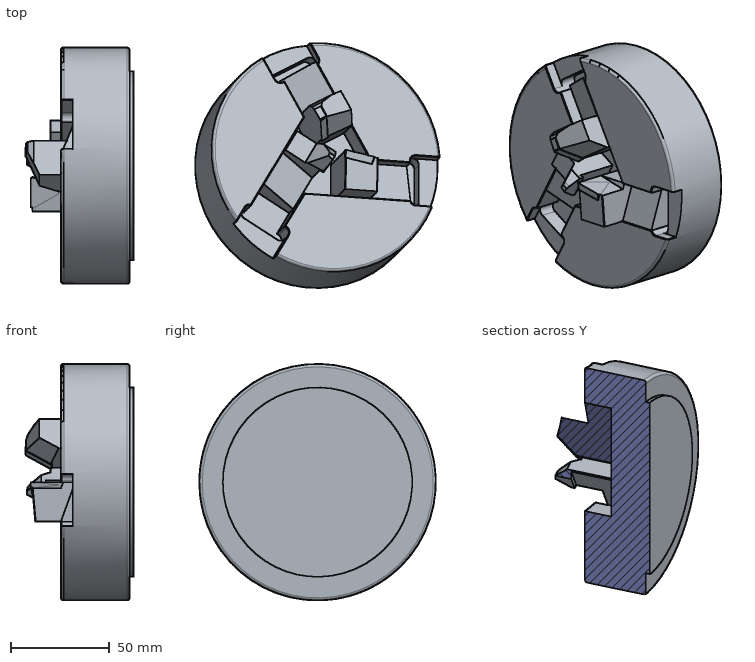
import cadquery as cq
import math


DISC_RADIUS = 60
DISC_THICKNESS = 34.9
RIM_FILLET = 1.5
FLANGE_RADIUS = 48
FLANGE_THICKNESS = 2.0

SLOT_WIDTH = 20.0
SLOT_DEPTH = 15.0
SLOT_INNER_END = -SLOT_WIDTH / math.sqrt(3)
SLOT_ANGLES = (0, 120, 240)
RELIEF_INNER_END = 44.0
RELIEF_RADIUS = 3.0
RELIEF_CENTER = RELIEF_INNER_END + RELIEF_RADIUS
CHANNEL_TOP = 4.0
CHANNEL_MARGIN = 2.0
CHANNEL_BOTTOM = -SLOT_WIDTH - CHANNEL_MARGIN
CHANNEL_DEPTH = 6
SLOT_CHAMFER = 0.4
CUT_MARGIN = 1.2
RADIUS_TOLERANCE = 0.01

RAMP_ANGLE = 20
RAMP_SLOPE = math.tan(math.radians(RAMP_ANGLE))
HOLDER_LENGTH = 17.0
TRIM_SIZE = 120

FLAT_START = 6.2
FLAT_END = 44.0
FLAT_HEIGHT = 14.8
FLAT_CLEARANCE_ANGLE = 5
FLAT_CLEARANCE_SLOPE = math.tan(math.radians(FLAT_CLEARANCE_ANGLE))
FLAT_EDGE_CHAMFER = 0.4
RAKE_ANGLE = 10
SHOULDER_DROP = 1.2
TRIANGLE_SIDE = 17.3
TRIANGLE_NOSE = 1.2
TRIANGLE_TOP = 15.2
TRIANGLE_START = 5.2
TRIANGLE_THICKNESS = 3.8
TRIANGLE_CLEARANCE = 11
TRIANGLE_CORNER = math.radians(60)

TALL_START = 8.4
TALL_END = 45.8
TALL_HEIGHT = 17.6
TALL_LOW_HEIGHT = 10.8
TALL_LOW_EDGE = 14.4
TALL_TOP_ANGLE = 23.5
TALL_TOP_SLOPE = math.tan(math.radians(TALL_TOP_ANGLE))
TALL_FLANK_SLOPE = 1.62
TALL_FLANK_RELIEF = 0.25
TALL_CORNER_HEIGHT = 13.8
TALL_BEVEL_EDGE = 24
TALL_BEVEL_HEIGHT = 16.8
TALL_LAND_END = 22.3
TALL_INSERT_THICKNESS = 4.0
TALL_INSERT_RELIEF = 0.15
TALL_INSERT_TIP = (16.5, 18)
TALL_INSERT_NOSE = (15.6, 17.8)
TALL_INSERT_HEEL = (7.5, 5.0)
TALL_INSERT_BASE = 4.5

OVER_START = -1.1
OVER_SHOULDER = 11.0
OVER_END = 31.0
OVER_HEIGHT = 5.3
OVERHANG = 2.0
OVERHANG_BASE = 7.5
NOSE_FOOT = -8.2
NOSE_HEIGHT = 17.3
NOSE_BACK_SLOPE = 1.65
NOSE_END_HEIGHT = 10.0
NOSE_BEVEL_EDGE = 2.6
NOSE_BEVEL_HEIGHT = 15.7
NOSE_LAND_EDGE = 3.8
NOSE_LAND_HEIGHT = 16.9
NOSE_LAND_SLOPE = 0.2
NOSE_FLANK_POINT = (OVER_SHOULDER, -7.1, 7.0)
NOSE_FLANK_SLOPE = 1.6
NOSE_FLANK_RELIEF = 0.26


def block(x_range, y_range, z_range):
    """Box between the given limits."""
    size = [high - low for low, high in (x_range, y_range, z_range)]
    corner = (x_range[0], y_range[0], z_range[0])
    return cq.Workplane("XY", origin=corner).box(*size, centered=False)


def trim_above(solid, point, slope_x=0.0, slope_y=0.0):
    """Remove what lies above the plane through point that rises by the given slopes along X and Y."""
    plane = cq.Plane(origin=point, xDir=(1, 0, slope_x), normal=(-slope_x, -slope_y, 1))
    return solid.cut(cq.Workplane(plane).rect(TRIM_SIZE, TRIM_SIZE).extrude(TRIM_SIZE))


def slope_between(first, second):
    """Rise over run from one (x, z) point to another."""
    return (second[1] - first[1]) / (second[0] - first[0])


def slot_cutter():
    """Jaw slot with its rounded end relief and the shallower wide channel to the rim."""
    slot = block((SLOT_INNER_END, RELIEF_CENTER), (-SLOT_WIDTH, 0), (-SLOT_DEPTH, CUT_MARGIN))
    relief_width = CHANNEL_TOP - CHANNEL_BOTTOM
    relief_middle = (CHANNEL_TOP + CHANNEL_BOTTOM) / 2
    relief = (
        cq.Workplane("XY", origin=(RELIEF_CENTER, relief_middle, -SLOT_DEPTH))
        .slot2D(relief_width, 2 * RELIEF_RADIUS, 90)
        .extrude(SLOT_DEPTH + CUT_MARGIN)
    )
    channel = block(
        (RELIEF_CENTER, DISC_RADIUS + CUT_MARGIN),
        (CHANNEL_BOTTOM, CHANNEL_TOP),
        (-CHANNEL_DEPTH, CUT_MARGIN),
    )
    return slot.union(relief).union(channel)


def make_disc():
    """Disc with rounded rims, a rear flange and three slots whose mouths are chamfered."""
    disc = cq.Workplane("XY").circle(DISC_RADIUS).extrude(-DISC_THICKNESS)
    disc = disc.edges("%CIRCLE").fillet(RIM_FILLET)
    flange = (
        cq.Workplane("XY", origin=(0, 0, -DISC_THICKNESS)).circle(FLANGE_RADIUS).extrude(-FLANGE_THICKNESS)
    )
    disc = disc.union(flange)
    for angle in SLOT_ANGLES:
        disc = disc.cut(slot_cutter().rotate((0, 0, 0), (0, 0, 1), angle))
    face_rim = DISC_RADIUS - RIM_FILLET
    mouth_edges = [
        edge
        for edge in disc.faces(">Z").edges().vals()
        if not (edge.geomType() == "CIRCLE" and abs(edge.radius() - face_rim) < RADIUS_TOLERANCE)
    ]
    return disc.newObject(mouth_edges).chamfer(SLOT_CHAMFER)


def jaw_base(start, end):
    """Slot-filling bar whose top ramps down across the slot."""
    bar = block((start, end), (-SLOT_WIDTH, 0), (-SLOT_DEPTH, 0))
    return trim_above(bar, (start, -SLOT_WIDTH, 0), slope_y=-RAMP_SLOPE)


def make_flat_jaw():
    """Jaw with a nearly flat top, a tilted rake face and a triangular insert set into it."""
    shoulder = FLAT_START + HOLDER_LENGTH
    holder = block((FLAT_START, shoulder), (-SLOT_WIDTH, 0), (-SLOT_DEPTH, FLAT_HEIGHT))
    holder = trim_above(holder, (FLAT_START, 0, FLAT_HEIGHT), slope_y=FLAT_CLEARANCE_SLOPE)
    holder = holder.faces(">Z").edges(f"|(0, 1, {FLAT_CLEARANCE_SLOPE})").chamfer(FLAT_EDGE_CHAMFER)

    rake_depth = HOLDER_LENGTH * math.tan(math.radians(RAKE_ANGLE))
    wedge = (
        cq.Workplane("XY", origin=(0, 0, -SLOT_DEPTH))
        .polyline([(FLAT_START, 0), (shoulder, 0), (shoulder, -rake_depth)])
        .close()
        .extrude(SLOT_DEPTH + FLAT_HEIGHT)
    )
    below_shoulder = trim_above(wedge, (FLAT_START, 0, -SHOULDER_DROP), slope_y=-RAMP_SLOPE)
    holder = holder.cut(wedge.cut(below_shoulder))

    cut_rise = TRIANGLE_NOSE * math.sin(TRIANGLE_CORNER)
    cut_run = TRIANGLE_NOSE * math.cos(TRIANGLE_CORNER)
    middle = TRIANGLE_SIDE / 2
    apex_depth = TRIANGLE_SIDE * math.sin(TRIANGLE_CORNER)
    triangle_with_cut_corners = [
        (TRIANGLE_NOSE, 0),
        (TRIANGLE_SIDE - TRIANGLE_NOSE, 0),
        (TRIANGLE_SIDE - cut_run, -cut_rise),
        (middle + cut_run, cut_rise - apex_depth),
        (middle - cut_run, cut_rise - apex_depth),
        (cut_run, -cut_rise),
    ]
    insert = (
        cq.Workplane("XZ", origin=(TRIANGLE_START, 0, TRIANGLE_TOP))
        .polyline(triangle_with_cut_corners)
        .close()
        .extrude(TRIANGLE_THICKNESS, taper=TRIANGLE_CLEARANCE)
        .rotate((FLAT_START, 0, 0), (FLAT_START, 0, 1), -RAKE_ANGLE)
    )
    return jaw_base(FLAT_START, FLAT_END).union(holder).cut(insert).union(insert, clean=False)


def make_tall_jaw():
    """Jaw with a faceted tall tooth and a cutting insert along its side."""
    shoulder = TALL_START + HOLDER_LENGTH
    corner = (shoulder, TALL_CORNER_HEIGHT)
    bevel = (TALL_BEVEL_EDGE, TALL_BEVEL_HEIGHT)
    land = (TALL_LAND_END, TALL_HEIGHT)
    low_edge = (TALL_LOW_EDGE, -SLOT_WIDTH, TALL_LOW_HEIGHT)

    holder = block((TALL_START, shoulder), (-SLOT_WIDTH, 0), (-SLOT_DEPTH, TALL_HEIGHT))
    holder = trim_above(holder, low_edge, slope_y=TALL_TOP_SLOPE)
    holder = trim_above(holder, low_edge, slope_x=TALL_FLANK_SLOPE, slope_y=TALL_FLANK_RELIEF)
    holder = trim_above(holder, (corner[0], 0, corner[1]), slope_x=slope_between(corner, bevel))
    holder = trim_above(holder, (bevel[0], 0, bevel[1]), slope_x=slope_between(bevel, land))

    insert = (
        cq.Workplane("XZ")
        .polyline(
            [
                land,
                TALL_INSERT_TIP,
                TALL_INSERT_NOSE,
                TALL_INSERT_HEEL,
                (TALL_START, TALL_INSERT_BASE),
                (TALL_LAND_END, TALL_INSERT_BASE),
            ]
        )
        .close()
        .extrude(TALL_INSERT_THICKNESS)
    )
    nose = (TALL_INSERT_NOSE[0], 0, TALL_INSERT_NOSE[1])
    insert = trim_above(
        insert,
        nose,
        slope_x=slope_between(TALL_INSERT_HEEL, TALL_INSERT_NOSE),
        slope_y=TALL_INSERT_RELIEF,
    )
    return jaw_base(TALL_START, TALL_END).union(holder).union(insert)


def make_overhanging_jaw():
    """Jaw with a low holder and a pointed nose that overhangs the slot wall."""
    span = (OVER_START, OVER_SHOULDER)
    bevel = (NOSE_BEVEL_EDGE, NOSE_BEVEL_HEIGHT)
    land = (NOSE_LAND_EDGE, NOSE_LAND_HEIGHT)
    end_edge = (OVER_START, NOSE_END_HEIGHT)

    holder = block(span, (-SLOT_WIDTH, 0), (-SLOT_DEPTH, OVER_HEIGHT))
    nose = block(span, (NOSE_FOOT, 0), (0, NOSE_HEIGHT))
    nose = nose.union(block(span, (0, OVERHANG), (OVERHANG_BASE, NOSE_HEIGHT)))
    nose = trim_above(nose, (0, NOSE_FOOT, OVER_HEIGHT), slope_y=NOSE_BACK_SLOPE)
    nose = trim_above(nose, (end_edge[0], 0, end_edge[1]), slope_x=slope_between(end_edge, bevel))
    nose = trim_above(nose, (bevel[0], 0, bevel[1]), slope_x=slope_between(bevel, land))
    nose = trim_above(nose, (land[0], 0, land[1]), slope_x=NOSE_LAND_SLOPE)
    nose = trim_above(nose, NOSE_FLANK_POINT, slope_x=-NOSE_FLANK_SLOPE, slope_y=NOSE_FLANK_RELIEF)
    return jaw_base(OVER_START, OVER_END).union(holder).union(nose)


jaws = [
    jaw.rotate((0, 0, 0), (0, 0, 1), angle)
    for jaw, angle in zip((make_flat_jaw(), make_tall_jaw(), make_overhanging_jaw()), SLOT_ANGLES)
]
tipped = cq.Location(cq.Plane(origin=(0, 0, 0), xDir=(0, -1, 0), normal=(-1, 0, 0)))
bodies = [make_disc(), *jaws]
result = cq.Compound.makeCompound([body.solids().val().moved(tipped) for body in bodies])